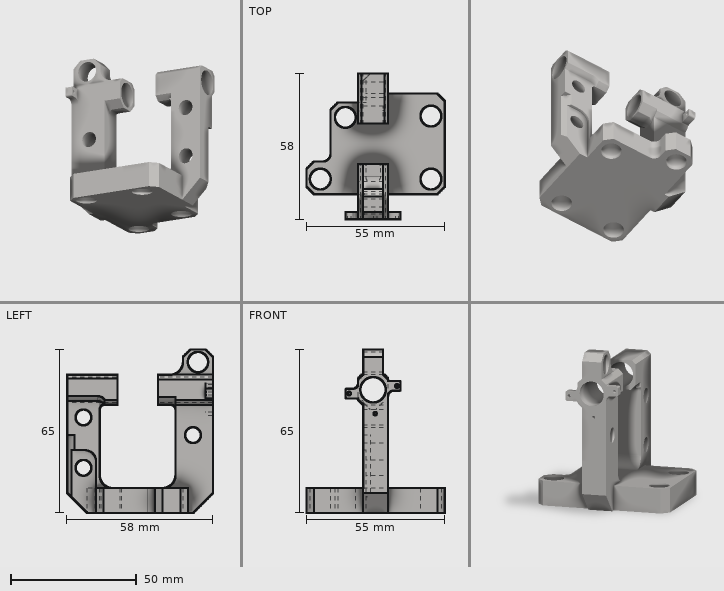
import cadquery as cq
import math


BASE_WIDTH = 55.0
TOTAL_DEPTH = 58.0
TOTAL_HEIGHT = 65.0
FRONT = -TOTAL_DEPTH / 2
BACK = TOTAL_DEPTH / 2
CUT_REACH = 130.0

BASE_HEIGHT = 10.0
BASE_FRONT = FRONT + 9.95
BASE_BACK = BACK - 8.0
BASE_BACK_LEFT = BACK - 11.5
BASE_LEFT_STEP_X = -17.95
BASE_LEFT_STEP_Y = -6.0
BASE_CHAMFER = 3.0
BASE_STEP_RADIUS = 3.0
MOUNT_HOLE_DIAMETER = 8.2
MOUNT_HOLE_X = 22.0
MOUNT_HOLE_FRONT_Y = -13.0
MOUNT_HOLE_BACK_Y = 12.0
MOUNT_HOLE_POINTS = [
    (MOUNT_HOLE_X, MOUNT_HOLE_FRONT_Y),
    (-MOUNT_HOLE_X, MOUNT_HOLE_FRONT_Y),
    (MOUNT_HOLE_X, MOUNT_HOLE_BACK_Y),
    (-12.0, 11.5),
]

POST_WIDTH = 10.0
POST_LEFT = -POST_WIDTH / 2
FRONT_POST_INNER = FRONT + 15.0
REAR_POST_INNER = BACK - 13.0
POST_FOOT_CHAMFER = 8.0
POST_BASE_RADIUS = 5.0
POST_BARREL_RADIUS = 1.75
CROSS_HOLE_DIAMETER = 6.2
CROSS_HOLE_POINTS = [(FRONT + 8.0, 31.0), (BACK - 6.5, 18.0), (BACK - 6.5, 38.0)]

BORE_Z = 49.0
BORE_DIAMETER = 10.0
BARREL_SIZE = 12.0
BARREL_LEFT = POST_WIDTH / 2 - BARREL_SIZE
BORE_X = BARREL_LEFT + BARREL_SIZE / 2
BARREL_BOTTOM = BORE_Z - BARREL_SIZE / 2
BARREL_TOP = BORE_Z + BARREL_SIZE / 2
FRONT_BARREL_LENGTH = 22.0
REAR_BARREL_LENGTH = 20.0
BARREL_CHAMFER = POST_LEFT - BARREL_LEFT
FRONT_BARREL_INNER_CHAMFER = 3.1
REAR_BARREL_TOP_CHAMFER = 1.5

LUG_WIDTH = 8.0
LUG_DEPTH = 12.0
LUG_CHAMFER = 3.0
LUG_RADIUS = 5.0
LUG_HOLE_DIAMETER = 8.0
LUG_HOLE_Y = FRONT + LUG_DEPTH / 2
LUG_HOLE_Z = 60.0

EAR_REACH = 11.0
EAR_BOTTOM = -0.45
EAR_TOP = 3.5
EAR_THICKNESS = 3.0
EAR_CORNER_RADIUS = 0.65
EAR_ROOT_RADIUS = 2.0
EAR_UPPER_ROOT_RADIUS = 0.3
SCREW_HOLE_DIAMETER = 1.3
SCREW_HOLE_OFFSET = 9.5
SCREW_HOLE_RISE = 1.5
LOWER_SCREW_HOLE_X = -0.2
LOWER_SCREW_HOLE_DEPTH = 3.0
DRILL_TIP_ANGLE = 118.0

POST_EDGE_CHAMFER = 3.0
POST_EDGE_CHAMFER_TOP = 31.0
POCKET_DEPTH = 1.2
POCKET_TOP = 25.0
POCKET_RADIUS = 4.5
RELIEF_RISE = 1.5
RELIEF_ARC_LENGTH = 2.85
RELIEF_OVERLAP = 1.9


def block(x_min, x_max, y_min, y_max, z_min, z_max):
    size = (x_max - x_min, y_max - y_min, z_max - z_min)
    return cq.Workplane("XY").box(*size, centered=False).translate((x_min, y_min, z_min))


def cylinders_along_x(yz_points, diameter):
    plane = cq.Workplane("YZ", origin=(-CUT_REACH / 2, 0, 0))
    return plane.pushPoints(yz_points).circle(diameter / 2).extrude(CUT_REACH)


def cylinders_from_front(xz_points, diameter, depth):
    """Cylinders that start on the front face and run backwards."""
    plane = cq.Workplane("XZ", origin=(0, FRONT, 0))
    return plane.pushPoints(xz_points).circle(diameter / 2).extrude(-depth)


def vertical_edge_near(x, y):
    return cq.selectors.NearestToPointSelector((x, y, BASE_HEIGHT / 2))


def base_plate():
    right = BASE_WIDTH / 2
    left = -right
    outline = [
        (left, BASE_FRONT),
        (right, BASE_FRONT),
        (right, BASE_BACK),
        (0, BASE_BACK),
        (0, BASE_BACK_LEFT),
        (BASE_LEFT_STEP_X, BASE_BACK_LEFT),
        (BASE_LEFT_STEP_X, BASE_LEFT_STEP_Y),
        (left, BASE_LEFT_STEP_Y),
    ]
    plate = cq.Workplane("XY").polyline(outline).close().extrude(BASE_HEIGHT)
    plate = plate.edges("|Z and (<X or >X)").chamfer(BASE_CHAMFER)
    plate = plate.edges(vertical_edge_near(BASE_LEFT_STEP_X, BASE_BACK_LEFT)).chamfer(BASE_CHAMFER)
    return plate.edges(vertical_edge_near(BASE_LEFT_STEP_X, BASE_LEFT_STEP_Y)).fillet(BASE_STEP_RADIUS)


def mount_holes():
    return (
        cq.Workplane("XY")
        .pushPoints(MOUNT_HOLE_POINTS)
        .circle(MOUNT_HOLE_DIAMETER / 2)
        .extrude(BASE_HEIGHT)
    )


def post_frame():
    """Two posts that share a foot, with rounded corners in the opening between them."""
    right = -POST_LEFT
    frame = block(POST_LEFT, right, FRONT, BACK, 0, BORE_Z).edges("|X and <Z").chamfer(POST_FOOT_CHAMFER)
    opening = block(POST_LEFT, right, FRONT_POST_INNER, REAR_POST_INNER, BASE_HEIGHT, BARREL_BOTTOM)
    opening = opening.edges("|X and <Z").fillet(POST_BASE_RADIUS)
    opening = opening.edges("|X and >Z").fillet(POST_BARREL_RADIUS)
    above_opening = block(POST_LEFT, right, FRONT_POST_INNER, REAR_POST_INNER, BARREL_BOTTOM, BORE_Z)
    return frame.cut(opening).cut(above_opening)


def barrel(y_min, y_max, top_chamfer):
    """Octagonal bar along Y, still without its bore."""
    bar = block(BARREL_LEFT, BARREL_LEFT + BARREL_SIZE, y_min, y_max, BARREL_BOTTOM, BARREL_TOP)
    return bar.edges("|Y and >Z").chamfer(top_chamfer).edges("|Y and <Z").chamfer(BARREL_CHAMFER)


def inner_chamfer_cuts():
    """Wedges that deepen the lower chamfers of the front barrel where it overhangs the opening."""
    length = FRONT + FRONT_BARREL_LENGTH - FRONT_POST_INNER
    side = FRONT_BARREL_INNER_CHAMFER + POST_BARREL_RADIUS
    wedge_bottom = BARREL_BOTTOM - POST_BARREL_RADIUS
    left_wedge = (
        cq.Workplane("XZ", origin=(BARREL_LEFT, FRONT_POST_INNER, wedge_bottom))
        .polyline([(0, 0), (side, 0), (0, side)])
        .close()
        .extrude(-length)
    )
    right_wedge = left_wedge.mirror("YZ", (BORE_X, 0, 0))
    return left_wedge.union(right_wedge)


def lug():
    inner = FRONT + LUG_DEPTH
    body = (
        cq.Workplane("YZ", origin=(POST_LEFT, 0, 0))
        .moveTo(FRONT, BARREL_TOP)
        .lineTo(FRONT, TOTAL_HEIGHT - LUG_CHAMFER)
        .lineTo(FRONT + LUG_CHAMFER, TOTAL_HEIGHT)
        .lineTo(inner - LUG_CHAMFER, TOTAL_HEIGHT)
        .lineTo(inner, TOTAL_HEIGHT - LUG_CHAMFER)
        .lineTo(inner, BARREL_TOP + LUG_RADIUS)
        .radiusArc((inner + LUG_RADIUS, BARREL_TOP), -LUG_RADIUS)
        .close()
        .extrude(LUG_WIDTH)
    )
    return body.cut(cylinders_along_x([(LUG_HOLE_Y, LUG_HOLE_Z)], LUG_HOLE_DIAMETER))


def ears():
    """Two screw ears, one the half-turn copy of the other about the bore axis."""
    half = BARREL_SIZE / 2
    right_ear = (
        cq.Workplane("XZ", origin=(BORE_X, FRONT, BORE_Z))
        .moveTo(0, EAR_TOP + EAR_UPPER_ROOT_RADIUS)
        .lineTo(half, EAR_TOP + EAR_UPPER_ROOT_RADIUS)
        .radiusArc((half + EAR_UPPER_ROOT_RADIUS, EAR_TOP), -EAR_UPPER_ROOT_RADIUS)
        .lineTo(EAR_REACH, EAR_TOP)
        .lineTo(EAR_REACH, EAR_BOTTOM)
        .lineTo(half + EAR_ROOT_RADIUS, EAR_BOTTOM)
        .radiusArc((half, EAR_BOTTOM - EAR_ROOT_RADIUS), -EAR_ROOT_RADIUS)
        .lineTo(0, EAR_BOTTOM - EAR_ROOT_RADIUS)
        .close()
        .extrude(-EAR_THICKNESS)
        .edges("|Y and >X")
        .fillet(EAR_CORNER_RADIUS)
    )
    left_ear = right_ear.rotate((BORE_X, 0, BORE_Z), (BORE_X, 1, BORE_Z), 180)
    return right_ear.union(left_ear)


def screw_holes():
    """Through holes in the ears and a blind drilled hole in the front post below the bore."""
    ear_points = [
        (BORE_X + turn * SCREW_HOLE_OFFSET, BORE_Z + turn * SCREW_HOLE_RISE) for turn in (1, -1)
    ]
    through = cylinders_from_front(ear_points, SCREW_HOLE_DIAMETER, EAR_THICKNESS)
    radius = SCREW_HOLE_DIAMETER / 2
    tip_length = radius / math.tan(math.radians(DRILL_TIP_ANGLE / 2))
    blind = (
        cq.Workplane("XY", origin=(LOWER_SCREW_HOLE_X, FRONT, BORE_Z - SCREW_HOLE_OFFSET))
        .polyline(
            [(0, 0), (radius, 0), (radius, LOWER_SCREW_HOLE_DEPTH), (0, LOWER_SCREW_HOLE_DEPTH + tip_length)]
        )
        .close()
        .revolve(360, (0, 0), (0, 1))
    )
    return through.union(blind)


def rear_edge_chamfer_cut():
    """Wedge along the lower part of the rear post's outer left edge."""
    return (
        cq.Workplane("XY")
        .moveTo(POST_LEFT, BACK)
        .lineTo(POST_LEFT + POST_EDGE_CHAMFER, BACK)
        .lineTo(POST_LEFT, BACK - POST_EDGE_CHAMFER)
        .close()
        .extrude(POST_EDGE_CHAMFER_TOP)
    )


def rear_pocket_cut():
    """Shallow clearance in the left face of the rear post, open at the back and bottom."""
    pocket = block(POST_LEFT, POST_LEFT + POCKET_DEPTH, BASE_BACK_LEFT, BACK, 0, POCKET_TOP)
    return pocket.edges("|X and >Z and <Y").fillet(POCKET_RADIUS)


def barrel_relief_cut():
    """Raises the lower left chamfer of the rear barrel above the post, with a rounded inner end.

    The same profile is placed on the barrel side and, one chamfer lower, on the post face.
    """
    inner = REAR_POST_INNER - RELIEF_OVERLAP
    arc_radius = (RELIEF_ARC_LENGTH**2 + RELIEF_RISE**2) / (2 * RELIEF_RISE)

    def profile(workplane, chamfer_edge_z):
        return (
            workplane.moveTo(inner, chamfer_edge_z - BARREL_CHAMFER)
            .lineTo(inner, chamfer_edge_z)
            .radiusArc((inner + RELIEF_ARC_LENGTH, chamfer_edge_z + RELIEF_RISE), arc_radius)
            .lineTo(BACK, chamfer_edge_z + RELIEF_RISE)
            .lineTo(BACK, chamfer_edge_z - BARREL_CHAMFER)
            .close()
        )

    side = profile(cq.Workplane("YZ", origin=(BARREL_LEFT, 0, 0)), BARREL_BOTTOM + BARREL_CHAMFER)
    face = profile(side.workplane(offset=BARREL_CHAMFER, origin=(BARREL_LEFT, 0, 0)), BARREL_BOTTOM)
    return face.loft(ruled=True)


base = base_plate()
frame = post_frame()
front_barrel = barrel(FRONT, FRONT + FRONT_BARREL_LENGTH, BARREL_CHAMFER)
rear_barrel = barrel(BACK - REAR_BARREL_LENGTH, BACK, REAR_BARREL_TOP_CHAMFER).cut(barrel_relief_cut())

result = base.union(frame).union(front_barrel).union(rear_barrel)
result = result.cut(inner_chamfer_cuts())
result = result.union(lug()).union(ears())

result = result.cut(rear_edge_chamfer_cut()).cut(rear_pocket_cut())
result = result.cut(cylinders_from_front([(BORE_X, BORE_Z)], BORE_DIAMETER, TOTAL_DEPTH))
result = result.cut(cylinders_along_x(CROSS_HOLE_POINTS, CROSS_HOLE_DIAMETER))
result = result.cut(screw_holes())
result = result.cut(mount_holes())